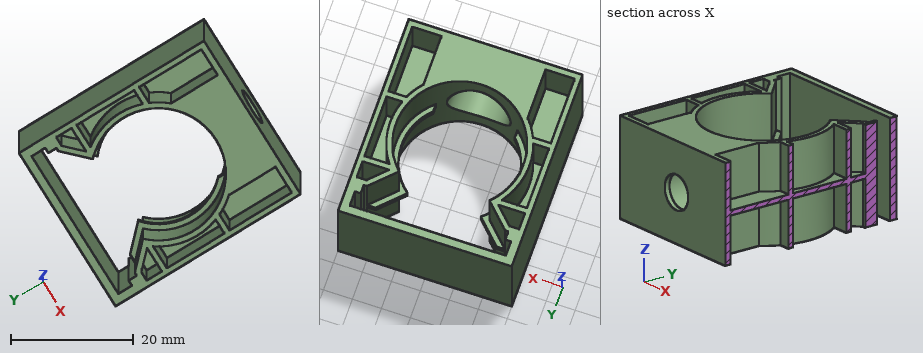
import cadquery as cq
import math

width = 30.0
length = 35.5
height = 18.0
half_width = width / 2
web_thickness = 1.0
web_bottom = (height - web_thickness) / 2

bore_center_y = 18.0
bore_radius = 11.0
ledge_radius = 10.0
clamp_wall = 1.0
pocket_arc_radius = bore_radius + clamp_wall
ledge_end_x = 7.03

back_wall = 1.5
window_half_width = 13.45
neck_half_width = 12.45
step_y = length - 4.1
neck_y = length - 5.6
mouth_tip_y = length - 9.73

side_wall = 1.0
front_wall = 1.1
pocket_outer_x = half_width - side_wall
lower_pocket_inner_x = 8.98
lower_pocket_top_y = 13.03
middle_pocket_bottom_y = lower_pocket_top_y + 1.0
middle_pocket_top_y = 25.03
upper_pocket_bottom_y = middle_pocket_top_y + 1.0
upper_pocket_top_y = 28.95

screw_diameter = 6.2
screw_collar = 1.0
screw_head_diameter = 11.0


def arc_x(radius, y):
    """Half width of a bore circle at the given Y."""
    return math.sqrt(radius**2 - (y - bore_center_y) ** 2)


def prism(points, bottom, depth):
    return cq.Workplane("XY").workplane(offset=bottom).polyline(points).close().extrude(depth)


def disc(radius, bottom, depth):
    plane = cq.Workplane("XY", origin=(0, bore_center_y, bottom))
    return plane.circle(radius).extrude(depth)


def rectangle(x_min, x_max, y_min, y_max, bottom, depth):
    return prism([(x_min, y_min), (x_max, y_min), (x_max, y_max), (x_min, y_max)], bottom, depth)


def clamp_opening(radius, bottom, depth):
    """Bore cut off at the mouth tips, with a 45 degree mouth flaring to the neck."""
    tip_x = arc_x(radius, mouth_tip_y)
    flare_x = tip_x + neck_y - mouth_tip_y
    bore = disc(radius, bottom, depth).intersect(
        rectangle(-half_width, half_width, 0, mouth_tip_y, bottom, depth)
    )
    mouth = prism(
        [(-tip_x, mouth_tip_y), (tip_x, mouth_tip_y), (flare_x, neck_y), (-flare_x, neck_y)],
        bottom,
        depth,
    )
    return bore.union(mouth)


def window():
    wide = rectangle(-window_half_width, window_half_width, step_y, length - back_wall, 0, height)
    neck = rectangle(-neck_half_width, neck_half_width, neck_y, step_y, 0, height)
    return wide.union(neck)


def side_pockets(bottom, depth):
    """The three pockets on the +X side."""
    clamp_body = disc(pocket_arc_radius, bottom, depth)
    lower = rectangle(
        lower_pocket_inner_x, pocket_outer_x, front_wall, lower_pocket_top_y, bottom, depth
    )
    middle = rectangle(
        0, pocket_outer_x, middle_pocket_bottom_y, middle_pocket_top_y, bottom, depth
    )
    slope_x_at_tip = arc_x(bore_radius, mouth_tip_y) + clamp_wall * math.sqrt(2)
    slope_offset = slope_x_at_tip - mouth_tip_y
    upper = prism(
        [
            (upper_pocket_bottom_y + slope_offset, upper_pocket_bottom_y),
            (pocket_outer_x, upper_pocket_bottom_y),
            (pocket_outer_x, upper_pocket_top_y),
            (upper_pocket_top_y + slope_offset, upper_pocket_top_y),
        ],
        bottom,
        depth,
    )
    return lower.union(middle).cut(clamp_body).union(upper)


def front_bore(diameter, start_y, end_y):
    """Cylinder along Y at mid height."""
    plane = cq.Workplane("XZ", origin=(0, start_y, height / 2))
    return plane.circle(diameter / 2).extrude(start_y - end_y)


result = rectangle(-half_width, half_width, 0, length, 0, height).cut(window())

web_top = web_bottom + web_thickness
for bottom in (0, web_top):
    pockets = side_pockets(bottom, web_bottom)
    result = result.cut(clamp_opening(bore_radius, bottom, web_bottom))
    result = result.cut(pockets).cut(pockets.mirror("YZ"))

result = result.cut(clamp_opening(ledge_radius, web_bottom, web_thickness))
front_sector = disc(bore_radius, web_bottom, web_thickness).intersect(
    rectangle(-ledge_end_x, ledge_end_x, 0, bore_center_y, web_bottom, web_thickness)
)
result = result.cut(front_sector)

result = result.cut(front_bore(screw_diameter, 0, screw_collar))
result = result.cut(front_bore(screw_head_diameter, screw_collar, bore_center_y))